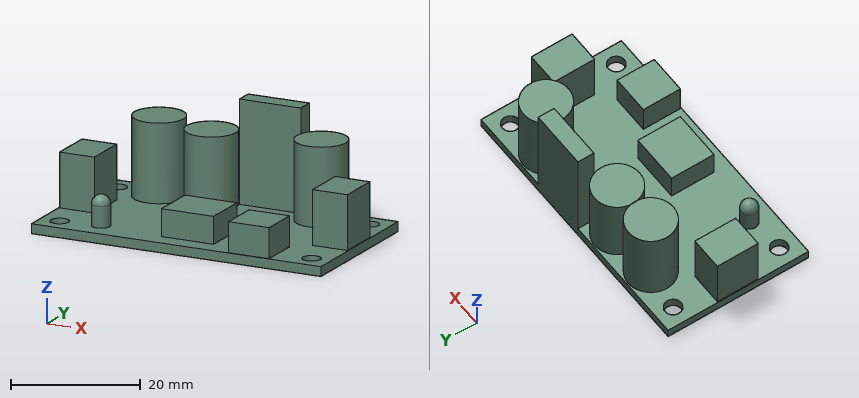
import cadquery as cq

BOARD_LENGTH = 50.0
BOARD_WIDTH = 26.5
BOARD_THICKNESS = 1.6

HOLE_DIAMETER = 3.0
HOLE_SPACING_X = 43.5
HOLE_SPACING_Y = 20.0

CAPACITOR_DIAMETER = 8.5
CAPACITOR_Y = 8.75
CAPACITORS = [(-14.0, 13.0), (-5.0, 12.0), (14.0, 13.0)]

PLATE_LENGTH = 10.6
PLATE_DEPTH = 3.0
PLATE_HEIGHT = 17.0
PLATE_X = 4.4

TERMINAL_LENGTH = 6.0
TERMINAL_WIDTH = 7.7
TERMINAL_HEIGHT = 9.0
TERMINAL_END_GAP = 0.15

INDUCTOR_LENGTH = 9.0
INDUCTOR_WIDTH = 8.0
INDUCTOR_HEIGHT = 4.5
INDUCTOR_X = 0.45
INDUCTOR_Y = -6.2

TRIMMER_SIDE = 7.0
TRIMMER_HEIGHT = 5.0
TRIMMER_X = 12.5
TRIMMER_EDGE_GAP = 0.15

LAMP_DIAMETER = 3.0
LAMP_STEM_HEIGHT = 3.5
LAMP_X = -15.0
LAMP_Y = -9.15


def block(length, width, height, x, y):
    """Rectangular component standing on the board, centred at (x, y)."""
    body = cq.Workplane("XY").box(length, width, height, centered=(True, True, False))
    return body.translate((x, y, BOARD_THICKNESS))


def cylinder(diameter, height, x, y):
    """Upright round component standing on the board, centred at (x, y)."""
    body = cq.Workplane("XY").circle(diameter / 2).extrude(height)
    return body.translate((x, y, BOARD_THICKNESS))


def make_board():
    board = cq.Workplane("XY").box(
        BOARD_LENGTH, BOARD_WIDTH, BOARD_THICKNESS, centered=(True, True, False)
    )
    return (
        board.faces(">Z")
        .workplane()
        .rarray(HOLE_SPACING_X, HOLE_SPACING_Y, 2, 2)
        .hole(HOLE_DIAMETER)
    )


def make_lamp():
    stem = cylinder(LAMP_DIAMETER, LAMP_STEM_HEIGHT, LAMP_X, LAMP_Y)
    dome_z = BOARD_THICKNESS + LAMP_STEM_HEIGHT
    dome = cq.Workplane("XY").sphere(LAMP_DIAMETER / 2).translate((LAMP_X, LAMP_Y, dome_z))
    return stem.union(dome)


result = make_board()

for capacitor_x, capacitor_height in CAPACITORS:
    result = result.union(
        cylinder(CAPACITOR_DIAMETER, capacitor_height, capacitor_x, CAPACITOR_Y)
    )

plate_y = (BOARD_WIDTH - PLATE_DEPTH) / 2
result = result.union(block(PLATE_LENGTH, PLATE_DEPTH, PLATE_HEIGHT, PLATE_X, plate_y))

terminal_x = (BOARD_LENGTH - TERMINAL_LENGTH) / 2 - TERMINAL_END_GAP
for side in (-1, 1):
    result = result.union(
        block(TERMINAL_LENGTH, TERMINAL_WIDTH, TERMINAL_HEIGHT, side * terminal_x, 0)
    )

result = result.union(
    block(INDUCTOR_LENGTH, INDUCTOR_WIDTH, INDUCTOR_HEIGHT, INDUCTOR_X, INDUCTOR_Y)
)

trimmer_y = (TRIMMER_SIDE - BOARD_WIDTH) / 2 + TRIMMER_EDGE_GAP
result = result.union(
    block(TRIMMER_SIDE, TRIMMER_SIDE, TRIMMER_HEIGHT, TRIMMER_X, trimmer_y)
)

result = result.union(make_lamp())